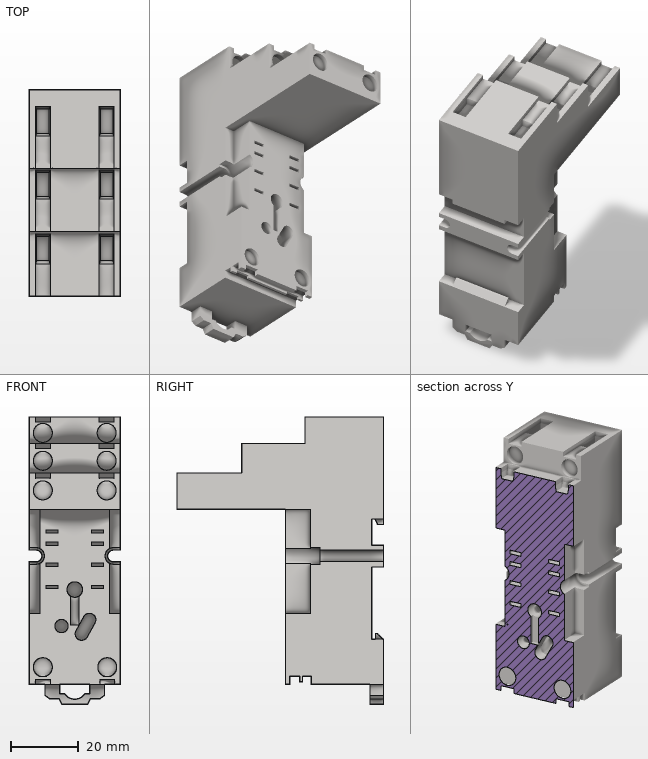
import cadquery as cq
import math


WIDTH = 26.9
HEIGHT = 84.8
BODY_BOTTOM = 5.85
BODY_DEPTH = 29.0
HALF_WIDTH = WIDTH / 2

TIERS = [
    (23.25, HEIGHT, 4.75, 5.0, 0.8),
    (41.9, 77.0, 5.2, 23.7, 0.8),
    (61.0, 68.3, 5.2, 42.6, 1.0),
]
TIER_UNDERSIDE = 57.5

TERMINAL_X = 9.4
SCREW_RADIUS = 2.8
SCREW_DEPTH = 1.7
RECESS_WIDTH = 4.4
RECESS_DEPTH = 1.5
POCKET_DEPTH = 1.6
POCKET_FLOOR_LENGTH = 7.1
POCKET_BACK_SLOPE = 0.8
POCKET_SIDE_SLOPE = 0.3

BOTTOM_TERMINAL_XS = (-TERMINAL_X, 9.6)
BOTTOM_SCREW_Z = 10.95
BOTTOM_SLOT_BACK = 21.4
BOTTOM_SLOT_FRONT = 27.7
BOTTOM_SLOT_HEIGHT = 2.4
RIB_BACK = 23.9
RIB_THICKNESS = 0.85
RIB_HEIGHT = 1.6

SIDE_RECESS_WIDTH = 3.1
SIDE_RECESS_BACK = 21.55
SIDE_RECESS_BOTTOM = 26.8
NOTCH_Z = 43.8
NOTCH_CENTRE_INSET = 2.0
NOTCH_RADIUS = 1.7
NOTCH_HEAD_RADIUS = 2.5
NOTCH_HEAD_BACK = 18.75

RAIL_DEPTH = 3.5
RAIL_UPPER = (47.0, 54.6)
RAIL_LOWER = (19.3, 40.5)
UPPER_HOOK_DROP = 1.6
UPPER_HOOK_ROOT = 2.55
UPPER_HOOK_TIP = 1.8
LOWER_HOOK_RISE = 1.7
LOWER_HOOK_TOE = 0.2
LOWER_HOOK_CREST = 1.95
LOWER_HOOK_FRONT = 2.5

CLIP_THICKNESS = 4.1
CLIP_HALF_WIDTH = 8.8
CLIP_SHOULDER_Z = 1.6
CLIP_CORNER_X = 7.5
CLIP_CORNER_Z = 2.6
CLIP_TAB_TOP_X = 4.7
CLIP_TAB_BOTTOM_X = 3.8
CLIP_OPENING_X = 4.4
CLIP_OPENING_Z = 3.1
CLIP_ARC_X = 3.0
CLIP_ARC_BOTTOM_Z = 1.5

CONTACT_X = 6.7
CONTACT_WIDTH = 3.65
CONTACT_ZS = (51.0, 47.3, 41.2, 34.6)
CONTACT_HEIGHT = 1.0
SOCKET_DEPTH = 5.1
KEYHOLE_Z = 33.85
KEYHOLE_RADIUS = 2.3
KEYHOLE_STEM_WIDTH = 2.5
KEYHOLE_STEM_DEPTH = 2.55
KEYHOLE_STEM_BOTTOM = 23.3
PIN_HOLE = (-3.9, 23.1)
PIN_HOLE_RADIUS = 1.95
SLANT_SLOT_LOW = (2.0, 20.8)
SLANT_SLOT_HIGH = (4.3, 24.95)
SLANT_SLOT_WIDTH = 3.8


def box(x_range, depth_range, z_range):
    """Box between two X values, two depths behind the back plane towards the front, and two heights."""
    size = [high - low for low, high in (x_range, depth_range, z_range)]
    corner = (x_range[0], -depth_range[1], z_range[0])
    return cq.Workplane("XY").box(*size, centered=False).translate(corner)


def front_plane(depth):
    """Sketch plane (X right, Z up) at a depth, facing -Y; negative extrusion goes into the body."""
    return cq.Workplane(cq.Plane(origin=(0, -depth, 0), xDir=(1, 0, 0), normal=(0, -1, 0)))


def drill(x, z, radius, depth, length):
    """Round bar running from a front face at the given depth back into the body."""
    return front_plane(depth).center(x, z).circle(radius).extrude(-length)


def side_profile(points, half_width):
    """Prism across the width from (depth, height) points."""
    outline = [(-depth, z) for depth, z in points]
    return cq.Workplane("YZ").polyline(outline).close().extrude(half_width, both=True)


def stepped_body():
    """Lower body with the three overhanging terminal tiers."""
    points = [(0, BODY_BOTTOM), (0, HEIGHT)]
    for index, (front, top, *_) in enumerate(TIERS):
        next_top = TIERS[index + 1][1] if index + 1 < len(TIERS) else TIER_UNDERSIDE
        points += [(front, top), (front, next_top)]
    points += [(BODY_DEPTH, TIER_UNDERSIDE), (BODY_DEPTH, BODY_BOTTOM)]
    return side_profile(points, HALF_WIDTH)


def wire_pocket(x, back, top, front_slope):
    """Pocket in a recess floor, tapering on all four sides to a flat floor."""
    floor_back = back + POCKET_BACK_SLOPE
    floor_front = floor_back + POCKET_FLOOR_LENGTH
    mouth_front = floor_front + front_slope
    floor_width = RECESS_WIDTH - 2 * POCKET_SIDE_SLOPE
    mouth_centre = -(back + mouth_front) / 2
    floor_centre = -(floor_back + floor_front) / 2
    return (
        cq.Workplane("XY", origin=(x, mouth_centre, top))
        .rect(RECESS_WIDTH, mouth_front - back)
        .workplane(offset=-POCKET_DEPTH)
        .center(0, floor_centre - mouth_centre)
        .rect(floor_width, POCKET_FLOOR_LENGTH)
        .loft(ruled=True)
    )


def cut_tier_terminals(body):
    for front, top, screw_drop, back, front_slope in TIERS:
        for x in (-TERMINAL_X, TERMINAL_X):
            x_range = (x - RECESS_WIDTH / 2, x + RECESS_WIDTH / 2)
            recess_floor = top - RECESS_DEPTH
            body = body.cut(box(x_range, (back, front), (recess_floor, top)))
            body = body.cut(wire_pocket(x, back, recess_floor, front_slope))
            body = body.cut(drill(x, top - screw_drop, SCREW_RADIUS, front, SCREW_DEPTH))
    return body


def cut_bottom_terminals(body):
    """Full-width slot with a shallow rib across it, and a wire notch and screw hole per terminal."""
    across = (-HALF_WIDTH, HALF_WIDTH)
    slot_top = BODY_BOTTOM + BOTTOM_SLOT_HEIGHT
    body = body.cut(box(across, (BOTTOM_SLOT_BACK, BOTTOM_SLOT_FRONT), (BODY_BOTTOM, slot_top)))
    rib = box(across, (RIB_BACK, RIB_BACK + RIB_THICKNESS), (slot_top - RIB_HEIGHT, slot_top))
    body = body.union(rib)
    for x in BOTTOM_TERMINAL_XS:
        x_range = (x - RECESS_WIDTH / 2, x + RECESS_WIDTH / 2)
        notch = box(x_range, (BOTTOM_SLOT_BACK, BODY_DEPTH), (BODY_BOTTOM, BODY_BOTTOM + RECESS_DEPTH))
        body = body.cut(notch)
        body = body.cut(drill(x, BOTTOM_SCREW_Z, SCREW_RADIUS, BODY_DEPTH, SCREW_DEPTH))
    return body


def side_notch(side, radius, depth_range):
    """U-shaped channel open to one side, running along Y."""
    centre_x = HALF_WIDTH - NOTCH_CENTRE_INSET
    x_range = sorted((side * centre_x, side * HALF_WIDTH))
    channel = box(x_range, depth_range, (NOTCH_Z - radius, NOTCH_Z + radius))
    back, front = depth_range
    return channel.union(drill(side * centre_x, NOTCH_Z, radius, front, front - back))


def cut_sides(body):
    for side in (-1, 1):
        x_range = sorted((side * (HALF_WIDTH - SIDE_RECESS_WIDTH), side * HALF_WIDTH))
        recess = box(x_range, (SIDE_RECESS_BACK, BODY_DEPTH), (SIDE_RECESS_BOTTOM, TIER_UNDERSIDE))
        body = body.cut(recess)
        body = body.cut(side_notch(side, NOTCH_RADIUS, (0, BODY_DEPTH)))
        body = body.cut(side_notch(side, NOTCH_HEAD_RADIUS, (NOTCH_HEAD_BACK, BODY_DEPTH)))
    return body


def cut_rail_seat(body):
    for z_range in (RAIL_UPPER, RAIL_LOWER):
        body = body.cut(box((-HALF_WIDTH, HALF_WIDTH), (0, RAIL_DEPTH), z_range))
    return body


def rail_hooks():
    """Fixed hook above the rail and sprung tooth of the clip below it."""
    top = RAIL_UPPER[1]
    bottom = RAIL_LOWER[0]
    upper_tip = top - UPPER_HOOK_DROP
    lower_tip = bottom + LOWER_HOOK_RISE
    upper = [(0, top), (UPPER_HOOK_ROOT, top), (UPPER_HOOK_TIP, upper_tip), (0, upper_tip)]
    lower = [
        (LOWER_HOOK_TOE, bottom),
        (LOWER_HOOK_CREST, lower_tip),
        (LOWER_HOOK_FRONT, lower_tip),
        (LOWER_HOOK_FRONT, bottom),
    ]
    return side_profile(upper, CLIP_HALF_WIDTH).union(side_profile(lower, CLIP_HALF_WIDTH))


def release_clip():
    """Stepped loop with a screwdriver opening."""
    half_outline = [
        (CLIP_HALF_WIDTH, BODY_BOTTOM),
        (CLIP_HALF_WIDTH, CLIP_CORNER_Z),
        (CLIP_CORNER_X, CLIP_SHOULDER_Z),
        (CLIP_TAB_TOP_X, CLIP_SHOULDER_Z),
        (CLIP_TAB_BOTTOM_X, 0),
    ]
    mirrored = [(-x, z) for x, z in reversed(half_outline)]
    plate = front_plane(CLIP_THICKNESS).polyline(half_outline + mirrored).close().extrude(-CLIP_THICKNESS)
    opening = (
        front_plane(CLIP_THICKNESS)
        .moveTo(-CLIP_OPENING_X, BODY_BOTTOM)
        .lineTo(-CLIP_OPENING_X, CLIP_OPENING_Z)
        .lineTo(-CLIP_ARC_X, CLIP_OPENING_Z)
        .threePointArc((0, CLIP_ARC_BOTTOM_Z), (CLIP_ARC_X, CLIP_OPENING_Z))
        .lineTo(CLIP_OPENING_X, CLIP_OPENING_Z)
        .lineTo(CLIP_OPENING_X, BODY_BOTTOM)
        .close()
        .extrude(-CLIP_THICKNESS)
    )
    return plate.cut(opening)


def front_sockets():
    """Contact slits, keyhole, pin hole and slanted slot sunk into the front face."""
    face = front_plane(BODY_DEPTH)
    slits = [(side * CONTACT_X, z) for side in (-1, 1) for z in CONTACT_ZS]
    sockets = face.pushPoints(slits).rect(CONTACT_WIDTH, CONTACT_HEIGHT).extrude(-SOCKET_DEPTH)

    keyhole = drill(0, KEYHOLE_Z, KEYHOLE_RADIUS, BODY_DEPTH, SOCKET_DEPTH)
    half_stem = KEYHOLE_STEM_WIDTH / 2
    stem = box(
        (-half_stem, half_stem),
        (BODY_DEPTH - KEYHOLE_STEM_DEPTH, BODY_DEPTH),
        (KEYHOLE_STEM_BOTTOM, KEYHOLE_Z),
    )
    pin_hole = drill(*PIN_HOLE, PIN_HOLE_RADIUS, BODY_DEPTH, SOCKET_DEPTH)

    run = SLANT_SLOT_HIGH[0] - SLANT_SLOT_LOW[0]
    rise = SLANT_SLOT_HIGH[1] - SLANT_SLOT_LOW[1]
    slot_length = math.hypot(run, rise) + SLANT_SLOT_WIDTH
    slot_angle = math.degrees(math.atan2(rise, run))
    slant_slot = (
        face.center(SLANT_SLOT_LOW[0] + run / 2, SLANT_SLOT_LOW[1] + rise / 2)
        .slot2D(slot_length, SLANT_SLOT_WIDTH, slot_angle)
        .extrude(-SOCKET_DEPTH)
    )
    return sockets.union(keyhole).union(stem).union(pin_hole).union(slant_slot)


body = stepped_body()
body = cut_tier_terminals(body)
body = cut_bottom_terminals(body)
body = cut_sides(body)
body = cut_rail_seat(body)
body = body.cut(front_sockets())
result = body.union(rail_hooks()).union(release_clip())